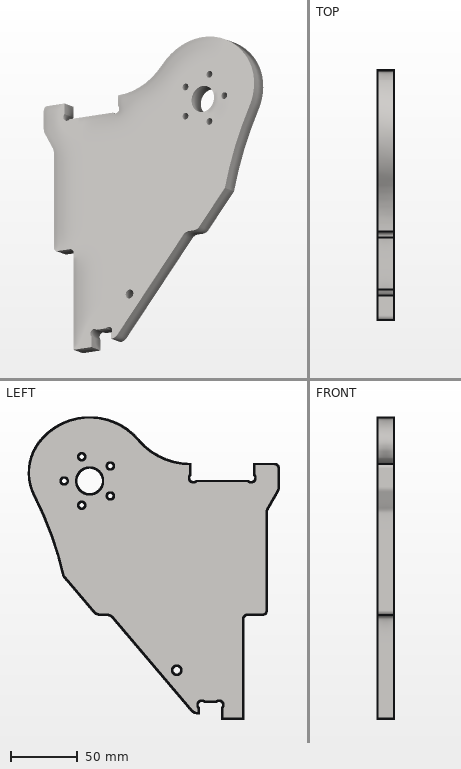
import cadquery as cq
import math

plate_thickness = 12.7

bore_diameter = 19.9
bolt_hole_diameter = 5.1
bolt_circle_radius = 19.05
bolt_count = 5
pivot_hole_diameter = 6.75
pivot_hole_centre = (-65.1, -141.4)

head_radius = 47.625
head_side_radius = 37.5
head_reach_y = 45.55
shoulder_radius = 50.8
flank_radius = 254.0

overall_width = 186.85
overall_height = 225.43
top_z = 12.7
bottom_z = head_radius - overall_height
hook_y = head_reach_y - overall_width
back_y = -132.35
foot_y = -114.8
ledge_z = -100.0
hook_slope_top_z = -6.5
hook_slope_angle = 60.0
lip_z = -173.6

front_angle = 40.3
flank_end = (19.6, -71.0)
lower_front_point = (-47.75, -138.1)

notch_depth = 12.7
top_notch_width = 47.7
top_notch_floor_z = top_z - notch_depth
bottom_notch_start_y = -81.5
bottom_notch_width = 17.4
bottom_notch_floor_z = bottom_z + notch_depth
relief_radius = 3.175

small_fillet = 3.175
large_fillet = 6.35


def on_circle(centre, radius, angle):
    """Point on a circle, with the angle in radians from +Y towards +Z."""
    return (centre[0] + radius * math.cos(angle), centre[1] + radius * math.sin(angle))


def direction(start, end):
    """Angle in radians of the ray from start to end."""
    return math.atan2(end[1] - start[1], end[0] - start[0])


def on_front_line(through, z):
    """Point at height z on the sloping front line that runs through a given point."""
    return (through[0] + (z - through[1]) * math.tan(math.radians(front_angle)), z)


bore_centre = (0.0, 0.0)
head_radius_step = head_radius - head_side_radius
head_blend_angle = math.acos((head_reach_y - head_side_radius) / head_radius_step)
head_side_centre = on_circle(bore_centre, head_radius_step, head_blend_angle)
head_blend = on_circle(bore_centre, head_radius, head_blend_angle)

shoulder_centre_z = top_z + shoulder_radius
shoulder_centre_y = -math.sqrt((head_radius + shoulder_radius) ** 2 - shoulder_centre_z**2)
shoulder_centre = (shoulder_centre_y, shoulder_centre_z)
shoulder_angle = direction(bore_centre, shoulder_centre)
shoulder_start = on_circle(bore_centre, head_radius, shoulder_angle)
shoulder_end = (shoulder_centre_y, top_z)
top_notch_start_y = shoulder_centre_y
shoulder_middle_angle = (direction(shoulder_centre, shoulder_start) - math.pi / 2) / 2
shoulder_middle = on_circle(shoulder_centre, shoulder_radius, shoulder_middle_angle)

flank_centre_distance = head_side_radius + flank_radius
flank_chord = math.dist(head_side_centre, flank_end)
flank_offset_angle = math.acos(
    (flank_chord**2 + flank_centre_distance**2 - flank_radius**2) / (2 * flank_chord * flank_centre_distance)
)
flank_angle = direction(head_side_centre, flank_end) + flank_offset_angle
flank_centre = on_circle(head_side_centre, flank_centre_distance, flank_angle)
flank_start = on_circle(head_side_centre, head_side_radius, flank_angle)
flank_middle_angle = (direction(flank_centre, flank_start) + direction(flank_centre, flank_end)) / 2
flank_middle = on_circle(flank_centre, flank_radius, flank_middle_angle)
head_side_middle = on_circle(head_side_centre, head_side_radius, (head_blend_angle + flank_angle) / 2)

hook_slope_bottom_z = hook_slope_top_z - (back_y - hook_y) * math.tan(math.radians(hook_slope_angle))
hook_top = (hook_y, top_z)
hook_slope_top = (hook_y, hook_slope_top_z)
hook_slope_bottom = (back_y, hook_slope_bottom_z)
back_bottom = (back_y, ledge_z)
ledge_inner = (foot_y, ledge_z)
step_outer = on_front_line(flank_end, ledge_z)
step_inner = on_front_line(lower_front_point, ledge_z)
lip_outer = on_front_line(lower_front_point, lip_z)


def plate_blank():
    top_notch_end_y = top_notch_start_y - top_notch_width
    bottom_notch_end_y = bottom_notch_start_y - bottom_notch_width
    return (
        cq.Workplane("YZ")
        .moveTo(*head_blend)
        .threePointArc((0.0, head_radius), shoulder_start)
        .threePointArc(shoulder_middle, shoulder_end)
        .lineTo(top_notch_start_y, top_notch_floor_z)
        .lineTo(top_notch_end_y, top_notch_floor_z)
        .lineTo(top_notch_end_y, top_z)
        .lineTo(*hook_top)
        .lineTo(*hook_slope_top)
        .lineTo(*hook_slope_bottom)
        .lineTo(*back_bottom)
        .lineTo(*ledge_inner)
        .lineTo(foot_y, bottom_z)
        .lineTo(bottom_notch_end_y, bottom_z)
        .lineTo(bottom_notch_end_y, bottom_notch_floor_z)
        .lineTo(bottom_notch_start_y, bottom_notch_floor_z)
        .lineTo(bottom_notch_start_y, lip_z)
        .lineTo(*lip_outer)
        .lineTo(*step_inner)
        .lineTo(*step_outer)
        .lineTo(*flank_end)
        .threePointArc(flank_middle, flank_start)
        .threePointArc(head_side_middle, head_blend)
        .close()
        .extrude(plate_thickness)
    )


def round_corners(plate, corners, radius):
    """Fillet the through-thickness edge at each outline corner."""
    for y, z in corners:
        edge = cq.selectors.NearestToPointSelector((plate_thickness / 2, y, z))
        plate = plate.edges("|X").edges(edge).fillet(radius)
    return plate


def cut_holes(plate, centres, diameter):
    holes = cq.Workplane("YZ").pushPoints(centres).circle(diameter / 2).extrude(plate_thickness)
    return plate.cut(holes)


def relief_centres(start_y, width, floor_z, open_side):
    """Centres of relief circles passing through both inner notch corners; open_side is +1 up, -1 down."""
    inset = relief_radius / math.sqrt(2)
    z = floor_z + open_side * inset
    return [(start_y - inset, z), (start_y - width + inset, z)]


bolt_centres = [
    on_circle(bore_centre, bolt_circle_radius, 2 * math.pi * index / bolt_count)
    for index in range(bolt_count)
]
reliefs = relief_centres(top_notch_start_y, top_notch_width, top_notch_floor_z, 1)
reliefs += relief_centres(bottom_notch_start_y, bottom_notch_width, bottom_notch_floor_z, -1)

wide_corners = [hook_slope_top, hook_slope_bottom, step_outer, step_inner, lip_outer]

result = plate_blank()
result = round_corners(result, [hook_top, back_bottom, ledge_inner], small_fillet)
result = round_corners(result, wide_corners, large_fillet)
result = cut_holes(result, reliefs, 2 * relief_radius)
result = cut_holes(result, [bore_centre], bore_diameter)
result = cut_holes(result, bolt_centres, bolt_hole_diameter)
result = cut_holes(result, [pivot_hole_centre], pivot_hole_diameter)